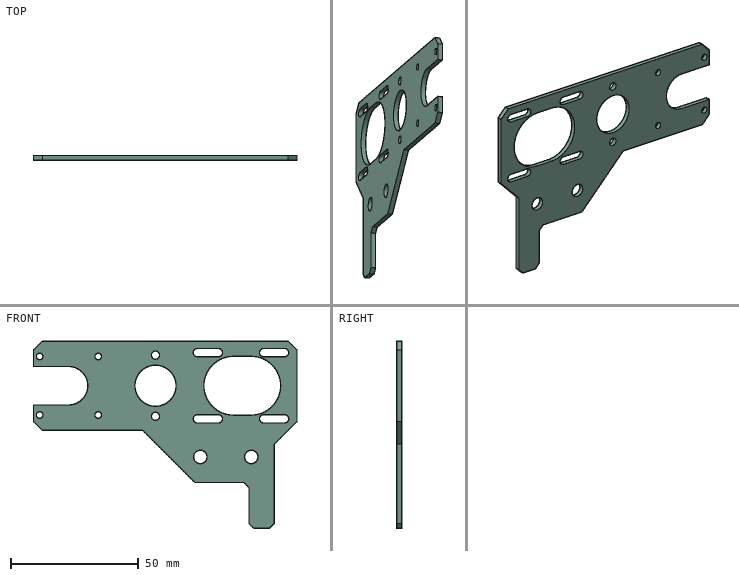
import cadquery as cq

length = 103.5
height = 73.5
thickness = 2.0

arm_height = 35.0
arm_chamfer = 3.5
shelf_z = 18.0
shelf_start_x = 63.3
leg_width = 10.0
leg_right_x = 94.6
leg_chamfer = 2.0
arm_bottom_z = height - arm_height
axis_z = height - arm_height / 2
leg_left_x = leg_right_x - leg_width

notch_width = 15.0
notch_depth = 21.3

end_hole_diameter = 2.5
end_hole_x = 2.5
end_hole_spacing = 23.0
bore_diameter = 16.0
bore_x = 47.9
bore_screw_diameter = 3.1
bore_screw_spacing = 24.0
lower_hole_diameter = 5.2
lower_hole_x = 65.5
lower_hole_spacing = 20.0
lower_hole_z = 28.0

opening_x = 82.0
opening_length = 30.0
opening_height = 23.0
slot_center_x = 81.5
slot_length = 11.4
slot_width = 3.2
slot_spacing_x = 26.0
slot_spacing_z = 26.0


def plate():
    """Outline with 45 degree corners, extruded through the thickness."""
    diagonal_run = arm_bottom_z - shelf_z
    right_slope_run = length - leg_right_x
    right_slope_top_z = arm_bottom_z + arm_chamfer
    points = [
        (0, height - arm_chamfer),
        (arm_chamfer, height),
        (length - arm_chamfer, height),
        (length, height - arm_chamfer),
        (length, right_slope_top_z),
        (leg_right_x, right_slope_top_z - right_slope_run),
        (leg_right_x, leg_chamfer),
        (leg_right_x - leg_chamfer, 0),
        (leg_left_x + leg_chamfer, 0),
        (leg_left_x, leg_chamfer),
        (leg_left_x, shelf_z - leg_chamfer),
        (leg_left_x - leg_chamfer, shelf_z),
        (shelf_start_x, shelf_z),
        (shelf_start_x - diagonal_run, arm_bottom_z),
        (arm_chamfer, arm_bottom_z),
        (0, arm_bottom_z + arm_chamfer),
    ]
    return cq.Workplane("XZ").polyline(points).close().extrude(-thickness)


def cut_holes(body, centers, diameter):
    cutter = cq.Workplane("XZ").pushPoints(centers).circle(diameter / 2).extrude(-thickness)
    return body.cut(cutter)


def cut_slots(body, centers, slot_size, width):
    cutter = cq.Workplane("XZ").pushPoints(centers).slot2D(slot_size, width).extrude(-thickness)
    return body.cut(cutter)


def pairs_about_axis(x_places, spacing_z):
    """Points at each X, above and below the arm's horizontal axis."""
    return [(x, axis_z + side * spacing_z / 2) for x in x_places for side in (-1, 1)]


result = plate()

result = cut_slots(result, [(0, axis_z)], 2 * notch_depth, notch_width)

end_hole_places = (end_hole_x, end_hole_x + end_hole_spacing)
result = cut_holes(result, pairs_about_axis(end_hole_places, end_hole_spacing), end_hole_diameter)

result = cut_holes(result, [(bore_x, axis_z)], bore_diameter)
result = cut_holes(result, pairs_about_axis([bore_x], bore_screw_spacing), bore_screw_diameter)

lower_holes = [(lower_hole_x, lower_hole_z), (lower_hole_x + lower_hole_spacing, lower_hole_z)]
result = cut_holes(result, lower_holes, lower_hole_diameter)

result = cut_slots(result, [(opening_x, axis_z)], opening_length, opening_height)
slot_places = (slot_center_x - slot_spacing_x / 2, slot_center_x + slot_spacing_x / 2)
result = cut_slots(result, pairs_about_axis(slot_places, slot_spacing_z), slot_length, slot_width)